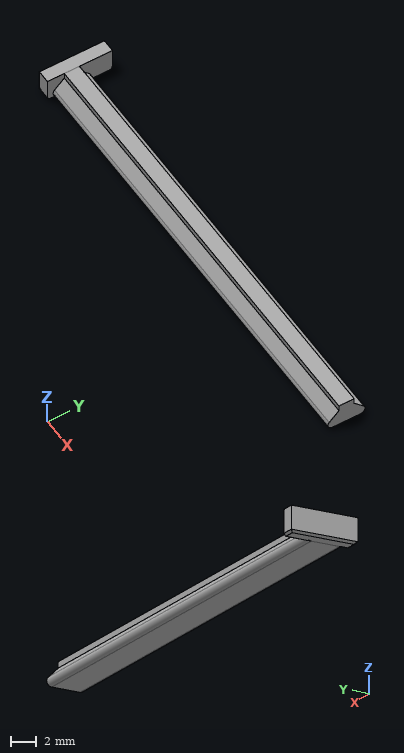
import cadquery as cq
import math

total_length = 41.4
height = 2.2

head_thickness = 1.2
head_width = 6.0
head_chamfer = 0.2

rail_offset_y = -0.75
neck_width = 1.4
neck_depth = 0.54
foot_radius = 0.45
flank_angle = math.radians(45)


def make_head():
    """Block with its bottom edges chamfered, except the one facing the rail."""
    block = cq.Workplane("XY").box(
        head_thickness, head_width, height, centered=(False, True, False)
    )
    return block.faces("<Z").edges("not >X").chamfer(head_chamfer)


def make_rail():
    """Constant profile running from the back of the head to the +X end."""
    neck_half = neck_width / 2
    neck_bottom = height - neck_depth

    normal_y = math.sin(flank_angle)
    normal_z = math.cos(flank_angle)
    tangent_z = foot_radius * (1 + normal_z)
    flank_run = (neck_bottom - tangent_z) / math.tan(flank_angle)
    tangent_y = neck_half + flank_run
    centre_y = tangent_y - foot_radius * normal_y

    mid_angle = -flank_angle / 2
    mid_y = centre_y + foot_radius * math.cos(mid_angle)
    mid_z = foot_radius * (1 + math.sin(mid_angle))

    profile = (
        cq.Workplane("YZ")
        .moveTo(-neck_half, height)
        .lineTo(neck_half, height)
        .lineTo(neck_half, neck_bottom)
        .lineTo(tangent_y, tangent_z)
        .threePointArc((mid_y, mid_z), (centre_y, 0))
        .lineTo(-centre_y, 0)
        .threePointArc((-mid_y, mid_z), (-tangent_y, tangent_z))
        .lineTo(-neck_half, neck_bottom)
        .close()
    )
    rail_length = total_length - head_thickness
    rail = profile.extrude(rail_length)
    return rail.translate((head_thickness, rail_offset_y, 0))


result = make_head().union(make_rail(), clean=False)